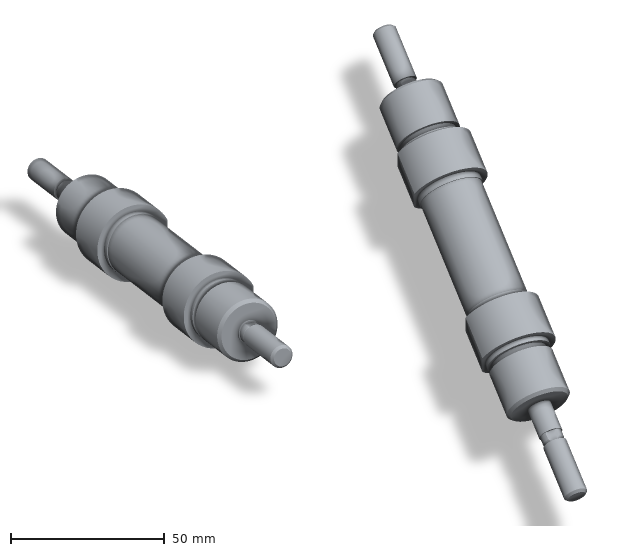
import cadquery as cq


rod_length = 175.0
rod_radius = 4.0
tip_chamfer = 0.9

thread_length = 19.8
neck_length = 3.7
neck_radius = 3.7
neck_cone_length = 1.0
neck_cone_radius = 3.2
flat_height = 3.2

left_face_x = -53.7
right_face_x = 63.4
nose_length = 16.5
nose_radius = 11.0
nose_chamfer = 1.0
relief_length = 2.1
relief_radius = 9.6
shoulder_length = 1.5
collar_length = 15.2
collar_radius = 13.5
collar_flat_y = 12.0
spigot_length = 2.1
cover_length = nose_length + relief_length + shoulder_length + collar_length + spigot_length

tube_radius = 10.7
tube_start_x = left_face_x + cover_length
tube_length = right_face_x - cover_length - tube_start_x


def cylinder(start_x, length, radius):
    """A solid cylinder on the X axis, running in +X from start_x."""
    return cq.Workplane("YZ", origin=(start_x, 0, 0)).circle(radius).extrude(length)


def make_neck():
    """The left neck of the rod, from the end of the thread inwards."""
    start_x = thread_length - rod_length / 2
    cone_end_x = start_x + neck_cone_length
    end_x = start_x + neck_length
    turned = (
        cq.Workplane("XY")
        .moveTo(start_x, 0)
        .lineTo(start_x, neck_cone_radius)
        .lineTo(cone_end_x, neck_radius)
        .lineTo(end_x, neck_radius)
        .lineTo(end_x, 0)
        .close()
        .revolve(360, (0, 0, 0), (1, 0, 0))
    )
    between_flats = (
        cq.Workplane("XY")
        .box(neck_length, 2 * rod_radius, 2 * flat_height)
        .translate(((start_x + end_x) / 2, 0, 0))
    )
    return turned.intersect(between_flats)


def make_rod():
    """A rod with chamfered tips and the same neck at both ends."""
    tip_x = -rod_length / 2
    middle_start_x = tip_x + thread_length + neck_length
    thread = cylinder(tip_x, thread_length, rod_radius).faces("<X").chamfer(tip_chamfer)
    left_end = thread.union(make_neck())
    right_end = left_end.mirror("YZ")
    middle = cylinder(middle_start_x, -2 * middle_start_x, rod_radius)
    return middle.union(left_end).union(right_end)


def make_cover(face_x, inward):
    """A stepped cover with its outer face at face_x, reaching inwards in +X (inward 1) or -X (inward -1).

    Its collar has a flat on the +Y side, and it is bored for the rod.
    """
    relief_x = nose_length
    shoulder_x = relief_x + relief_length
    collar_x = shoulder_x + shoulder_length
    nose = cylinder(0, nose_length, nose_radius).faces("<X").chamfer(nose_chamfer)
    relief = cylinder(relief_x, relief_length, relief_radius)
    core = cylinder(shoulder_x, cover_length - shoulder_x, nose_radius)
    flat_limit = (
        cq.Workplane("XY")
        .box(collar_length, 2 * collar_radius, 2 * collar_radius)
        .translate((collar_x + collar_length / 2, collar_flat_y - collar_radius, 0))
    )
    collar = cylinder(collar_x, collar_length, collar_radius).intersect(flat_limit)
    bore = cylinder(0, cover_length, rod_radius)
    cover = nose.union(relief).union(core).union(collar).cut(bore)
    if inward < 0:
        cover = cover.mirror("YZ")
    return cover.translate((face_x, 0, 0))


def make_tube():
    """A plain sleeve around the rod, butting against both covers."""
    bore = cylinder(tube_start_x, tube_length, rod_radius)
    return cylinder(tube_start_x, tube_length, tube_radius).cut(bore)


rod = make_rod().solids()
tube = make_tube().solids()
covers = [
    make_cover(face_x, inward).solids().val()
    for face_x, inward in ((left_face_x, 1), (right_face_x, -1))
]

result = cq.Compound.makeCompound([rod.val(), tube.val(), *covers])